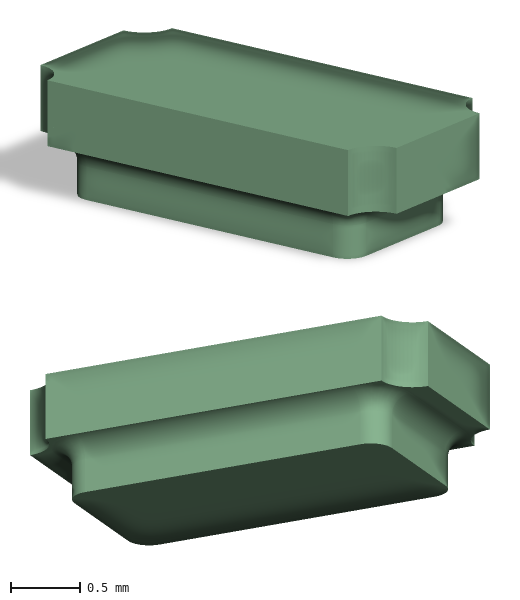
import cadquery as cq

BODY_LENGTH = 3.2
BODY_WIDTH = 1.5
BODY_HEIGHT = 0.5
NOTCH_RADIUS = 0.25

LID_HEIGHT = 0.4
LID_END_INSET = 0.323
LID_SIDE_INSET = 0.147
LID_CORNER_RADIUS = 0.17
LID_FLARE_RADIUS = LID_SIDE_INSET
MATCH_TOLERANCE = 0.0003

METAL_THICKNESS = 0.1
LINING_RADIUS = NOTCH_RADIUS + METAL_THICKNESS
LINING_DEPTH = 0.35
PAD_INSET = 0.1
PAD_INNER_EDGE = 0.75
PAD_CHAMFER = 0.2

MARKER_DIAMETER = 0.3
MARKER_DEPTH = METAL_THICKNESS

BODY_BOTTOM = LID_HEIGHT
BODY_TOP = BODY_BOTTOM + BODY_HEIGHT
HALF_LENGTH = BODY_LENGTH / 2
HALF_WIDTH = BODY_WIDTH / 2


def notched_block():
    """Body envelope with its four corner notches, before any recesses."""
    corners = [(x, y) for x in (-HALF_LENGTH, HALF_LENGTH) for y in (-HALF_WIDTH, HALF_WIDTH)]
    notches = cq.Workplane().workplane(offset=BODY_BOTTOM).pushPoints(corners)
    notches = notches.circle(NOTCH_RADIUS).extrude(BODY_HEIGHT)
    block = cq.Workplane().workplane(offset=BODY_BOTTOM)
    block = block.rect(BODY_LENGTH, BODY_WIDTH).extrude(BODY_HEIGHT)
    return block.cut(notches)


def make_terminal(side, chamfered):
    """Terminal at the -X end (side = -1) or the +X end (side = 1)."""
    pad_length = PAD_INNER_EDGE - PAD_INSET
    pad_center = side * (HALF_LENGTH - PAD_INSET - pad_length / 2)
    pad = cq.Workplane().workplane(offset=BODY_TOP - METAL_THICKNESS).center(pad_center, 0)
    pad = pad.rect(pad_length, BODY_WIDTH - 2 * PAD_INSET).extrude(METAL_THICKNESS)
    if chamfered:
        inner_face = "<X" if side > 0 else ">X"
        pad = pad.faces(inner_face).edges(">Y").chamfer(PAD_CHAMFER)

    corners = [(side * HALF_LENGTH, y) for y in (-HALF_WIDTH, HALF_WIDTH)]
    linings = cq.Workplane().workplane(offset=BODY_TOP - LINING_DEPTH).pushPoints(corners)
    linings = linings.circle(LINING_RADIUS).extrude(LINING_DEPTH)
    return pad.union(linings).intersect(notched_block())


def make_marker():
    marker = cq.Workplane().workplane(offset=BODY_TOP - MARKER_DEPTH)
    return marker.circle(MARKER_DIAMETER / 2).extrude(MARKER_DEPTH)


def make_body(inserts):
    """Notched block with a matching recess for each insert."""
    body = notched_block()
    for insert in inserts:
        body = body.cut(insert)
    return body


def make_lid():
    lid_length = BODY_LENGTH - 2 * LID_END_INSET
    lid_width = BODY_WIDTH - 2 * LID_SIDE_INSET
    lid = cq.Workplane().rect(lid_length, lid_width).extrude(LID_HEIGHT)
    lid = lid.edges("|Z").fillet(LID_CORNER_RADIUS)

    slab = cq.Workplane().workplane(offset=LID_HEIGHT)
    slab = slab.rect(BODY_LENGTH, 2 * BODY_WIDTH).extrude(BODY_HEIGHT)
    joint_outline = lid.faces(">Z").edges().vals()
    joint_points = [edge.positionAt(0.5) for edge in joint_outline]
    flared = lid.union(slab)
    joint_edges = [
        edge
        for edge in flared.edges().vals()
        if any(edge.positionAt(0.5).sub(point).Length < MATCH_TOLERANCE for point in joint_points)
    ]
    flared = flared.newObject(joint_edges).fillet(LID_FLARE_RADIUS)
    return flared.cut(slab)


terminals = [make_terminal(-1, chamfered=True), make_terminal(1, chamfered=False)]
marker = make_marker()
body = make_body([*terminals, marker])
lid = make_lid()

parts = [body, lid, marker, *terminals]
result = cq.Compound.makeCompound([part.solids().val() for part in parts])